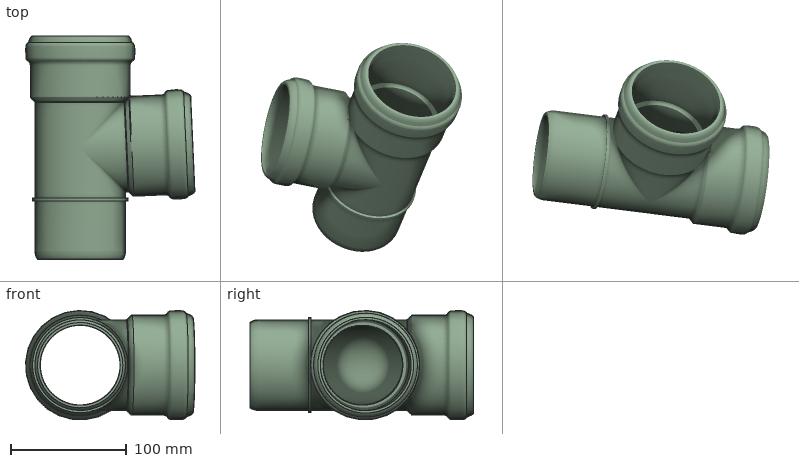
import cadquery as cq
import math

BRANCH_ANGLE = 87.5
PIPE_OD = 78.4
PIPE_BORE = 69.0

SOCKET_REACH = 97.6
SOCKET_OD = 86.6
SOCKET_BORE = 78.7
SOCKET_DEPTH = 53.3
SHOULDER_ANGLE = math.radians(45)
SHOULDER_LENGTH = (SOCKET_OD - PIPE_OD) / 2
SHOULDER_ROUND = 1.0

BEAD_OD = 94.8
CROWN_EDGE_OD = 94.0
BEAD_FRONT_OD = 90.0
BEAD_BACK_OD = 90.6
LIP_OD = 87.6
MOUTH_OD = 83.0
LIP_DEPTH = 3.0
BEAD_FRONT_DEPTH = 6.0
CROWN_START_DEPTH = 8.9
CROWN_END_DEPTH = 18.4
BEAD_BACK_DEPTH = 21.8
BEAD_END_DEPTH = 25.3

SPIGOT_REACH = 96.0
SPIGOT_TIP_OD = 73.8
SPIGOT_ROUND_LENGTH = 7.1
COLLAR_OD = 82.4
COLLAR_WIDTH = 2.4
COLLAR_REACH = 44.2

JUNCTION_FILLET = 1.0
JUNCTION_REACH = SOCKET_REACH - SOCKET_DEPTH
WEB_THICKNESS = 1.4
WEB_HEIGHT = 20.0
WEB_START_REACH = 55.0
WEB_END_REACH = 63.2


def add_socket(profile):
    """Continue a half profile from the pipe wall to the socket mouth and close it on the axis."""
    mouth = SOCKET_REACH
    crown_middle = (CROWN_START_DEPTH + CROWN_END_DEPTH) / 2
    shoulder = mouth - SOCKET_DEPTH
    tangent_length = SHOULDER_ROUND * math.tan(SHOULDER_ANGLE / 2)
    tangent_offset = tangent_length * math.cos(SHOULDER_ANGLE)
    return (
        profile.lineTo(PIPE_OD / 2, shoulder - SHOULDER_LENGTH - tangent_length)
        .tangentArcPoint(
            (PIPE_OD / 2 + tangent_offset, shoulder - SHOULDER_LENGTH + tangent_offset), relative=False
        )
        .lineTo(SOCKET_OD / 2 - tangent_offset, shoulder - tangent_offset)
        .tangentArcPoint((SOCKET_OD / 2, shoulder + tangent_length), relative=False)
        .lineTo(SOCKET_OD / 2, mouth - BEAD_END_DEPTH)
        .tangentArcPoint((BEAD_BACK_OD / 2, mouth - BEAD_BACK_DEPTH), relative=False)
        .tangentArcPoint((CROWN_EDGE_OD / 2, mouth - CROWN_END_DEPTH), relative=False)
        .threePointArc(
            (BEAD_OD / 2, mouth - crown_middle),
            (CROWN_EDGE_OD / 2, mouth - CROWN_START_DEPTH),
        )
        .tangentArcPoint((BEAD_FRONT_OD / 2, mouth - BEAD_FRONT_DEPTH), relative=False)
        .lineTo(LIP_OD / 2, mouth - LIP_DEPTH)
        .tangentArcPoint((MOUTH_OD / 2, mouth), relative=False)
        .lineTo(0, mouth)
        .close()
    )


def revolve_about_y(profile):
    return profile.revolve(360, (0, 0, 0), (0, 1, 0))


def main_body():
    """Solid main pipe with its socket at +Y and its rounded spigot at -Y."""
    profile = (
        cq.Workplane("XY")
        .moveTo(0, -SPIGOT_REACH)
        .lineTo(SPIGOT_TIP_OD / 2, -SPIGOT_REACH)
        .threePointArc(spigot_round_middle(), (PIPE_OD / 2, SPIGOT_ROUND_LENGTH - SPIGOT_REACH))
    )
    return revolve_about_y(add_socket(profile))


def spigot_round_middle():
    """Middle point of the spigot arc, which runs smoothly into the pipe wall."""
    drop = (PIPE_OD - SPIGOT_TIP_OD) / 2
    radius = (SPIGOT_ROUND_LENGTH**2 + drop**2) / (2 * drop)
    half_angle = math.asin(SPIGOT_ROUND_LENGTH / radius) / 2
    return (
        PIPE_OD / 2 - radius * (1 - math.cos(half_angle)),
        SPIGOT_ROUND_LENGTH - SPIGOT_REACH - radius * math.sin(half_angle),
    )


def branch_body():
    """Solid branch with its socket, starting at the axis crossing."""
    return to_branch(revolve_about_y(add_socket(cq.Workplane("XY").lineTo(PIPE_OD / 2, 0))))


def to_branch(body):
    """Turn a body built along +Y onto the branch axis."""
    return body.rotate((0, 0, 0), (0, 0, 1), -BRANCH_ANGLE)


def cylinder(diameter, start, end):
    """Cylinder around the Y axis between two Y positions."""
    return cq.Workplane("XZ", origin=(0, start, 0)).circle(diameter / 2).extrude(start - end)


def socket_bore():
    return cylinder(SOCKET_BORE, SOCKET_REACH - SOCKET_DEPTH, SOCKET_REACH)


def rounded_junction():
    """Plain pipe walls of the junction, with a fillet along the elliptical edges where they meet."""
    main_pipe = cylinder(PIPE_OD, -JUNCTION_REACH, JUNCTION_REACH)
    branch_pipe = to_branch(cylinder(PIPE_OD, 0, JUNCTION_REACH))
    pipes = main_pipe.union(branch_pipe).val()
    meeting_edges = [edge for edge in pipes.Edges() if edge.geomType() == "ELLIPSE"]
    return cq.Workplane(pipes.fillet(JUNCTION_FILLET, meeting_edges))


def shoulder_web():
    """Thin web that fills the crevice between the two socket shoulders."""
    web = cq.Workplane("XY").box(
        WEB_THICKNESS, WEB_END_REACH - WEB_START_REACH, WEB_HEIGHT, centered=(True, False, True)
    )
    web = web.translate((0, WEB_START_REACH, 0))
    return web.rotate((0, 0, 0), (0, 0, 1), -BRANCH_ANGLE / 2)


def collar():
    middle = -COLLAR_REACH
    return cylinder(COLLAR_OD, middle - COLLAR_WIDTH / 2, middle + COLLAR_WIDTH / 2)


outside = main_body().union(branch_body()).union(rounded_junction())
outside = outside.union(shoulder_web()).union(collar())
result = (
    outside.cut(cylinder(PIPE_BORE, -SPIGOT_REACH, SOCKET_REACH))
    .cut(socket_bore())
    .cut(to_branch(cylinder(PIPE_BORE, 0, SOCKET_REACH)))
    .cut(to_branch(socket_bore()))
)